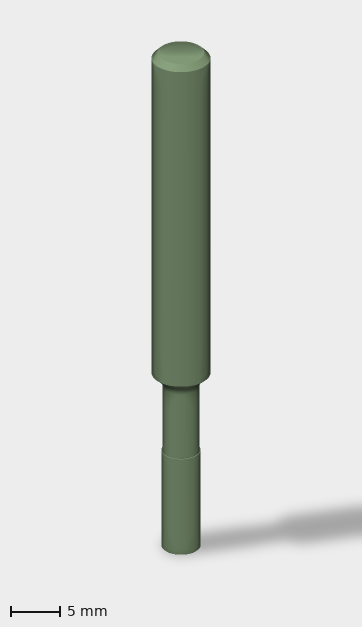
import cadquery as cq
import math

total_length = 57.0
tip_length = 11.05
shank_bottom = 20.0

shank_radius = 6.0 / 2
tip_radius = 4.0 / 2
neck_step = 0.1
neck_radius = tip_radius - neck_step

shank_chamfer = 0.6
tip_chamfer = 0.05
neck_fillet_radius = 1.0

cone_angle = math.radians(48)
fillet_top_radius = neck_radius + neck_fillet_radius * (1 - math.cos(cone_angle))
cone_bottom = shank_bottom - (shank_radius - fillet_top_radius) / math.tan(cone_angle)
fillet_bottom = cone_bottom - neck_fillet_radius * math.sin(cone_angle)

half_angle = cone_angle / 2
fillet_middle = (
    neck_radius + neck_fillet_radius * (1 - math.cos(half_angle)),
    fillet_bottom + neck_fillet_radius * math.sin(half_angle),
)

profile = (
    cq.Workplane("XZ")
    .moveTo(0, 0)
    .lineTo(tip_radius - tip_chamfer, 0)
    .lineTo(tip_radius, tip_chamfer)
    .lineTo(tip_radius, tip_length)
    .lineTo(neck_radius, tip_length)
    .lineTo(neck_radius, fillet_bottom)
    .threePointArc(fillet_middle, (fillet_top_radius, cone_bottom))
    .lineTo(shank_radius, shank_bottom)
    .lineTo(shank_radius, total_length - shank_chamfer)
    .lineTo(shank_radius - shank_chamfer, total_length)
    .lineTo(0, total_length)
    .close()
)

result = profile.revolve(360, (0, 0, 0), (0, 1, 0))